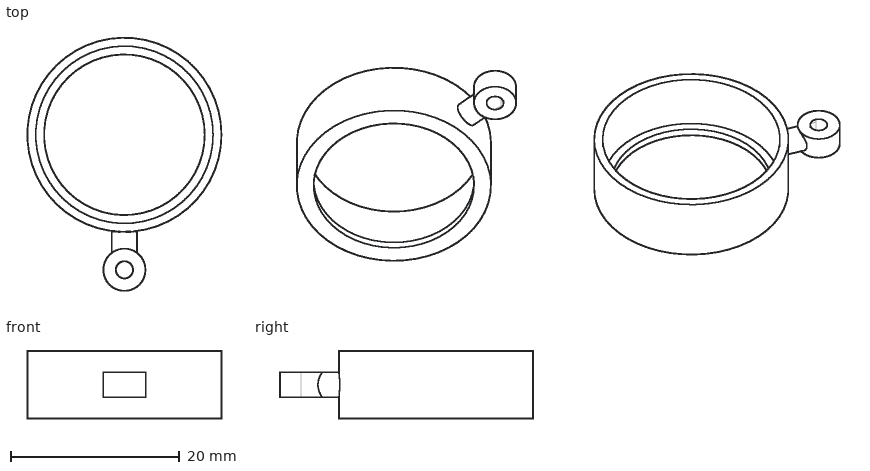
import cadquery as cq

ring_diameter = 23.0
bore_diameter = 21.0
lip_diameter = 19.0
ring_height = 8.0
lip_thickness = 1.0

overall_length = 30.0
eyelet_diameter = 5.0
eyelet_hole_diameter = 2.0
eyelet_height = 3.0
stem_diameter = eyelet_height

ring_radius = ring_diameter / 2
mid_height = ring_height / 2
eyelet_y = ring_radius - overall_length + eyelet_diameter / 2


def cylinder(diameter, height, base_z=0.0, center_y=0.0):
    """Upright cylinder on the plane x = 0."""
    return cq.Workplane("XY", origin=(0, center_y, base_z)).circle(diameter / 2).extrude(height)


def make_ring():
    """Open ring with an inward lip at its bottom edge."""
    ring = cylinder(ring_diameter, ring_height)
    opening = cylinder(lip_diameter, ring_height)
    bore = cylinder(bore_diameter, ring_height - lip_thickness, lip_thickness)
    return ring.cut(opening).cut(bore)


def make_eyelet():
    """Eyelet whose stem ends flush against the curved outside of the ring."""
    base_z = mid_height - eyelet_height / 2
    hole = cylinder(eyelet_hole_diameter, eyelet_height, base_z, eyelet_y)
    eyelet = cylinder(eyelet_diameter, eyelet_height, base_z, eyelet_y).cut(hole)
    stem = (
        cq.Workplane("XZ", origin=(0, eyelet_y, mid_height))
        .circle(stem_diameter / 2)
        .extrude(eyelet_y)
        .cut(hole)
        .cut(cylinder(ring_diameter, ring_height))
    )
    return eyelet.union(stem, clean=False)


ring = make_ring()
eyelet = make_eyelet()
result = cq.Compound.makeCompound([*ring.solids().vals(), *eyelet.solids().vals()])